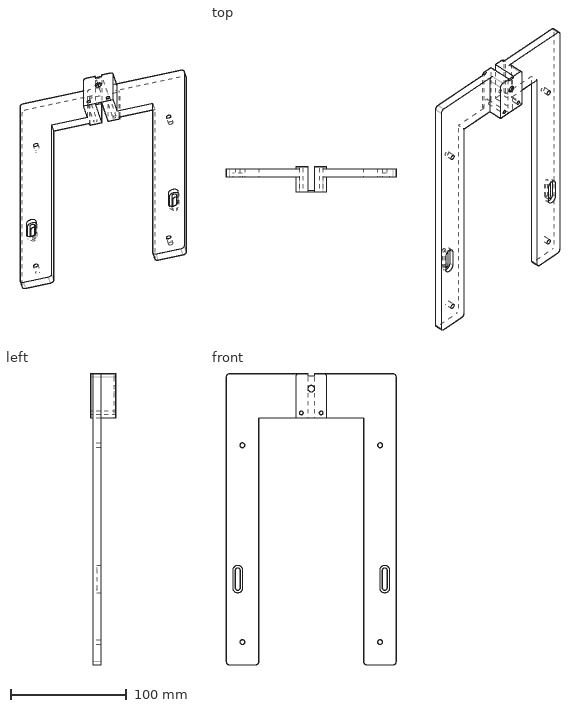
import cadquery as cq

frame_width = 147.0
frame_height = 252.0
plate_thickness = 7.0
leg_width = 28.2
crossbar_height = 38.5
corner_radius = 3.0
crossbar_bottom = frame_height - crossbar_height

block_width = 26.7
block_depth = 22.0
block_back_step = 2.0
block_corner_radius = 3.0
plate_back = block_depth - block_back_step
plate_front = plate_back - plate_thickness

channel_width = 5.5
web_thickness = 1.5
web_drop = 2.0

block_hole_diameter = 5.5
block_hole_drop = 13.0
pin_hole_diameter = 3.0
pin_hole_spacing = 17.1
pin_hole_drop = 34.0
leg_hole_diameter = 4.0
leg_hole_spacing = 119.0
leg_hole_heights = (20.0, 190.0)

slot_spacing = 127.0
slot_height = 74.3
slot_width = 4.0
slot_length = 19.2
recess_width = 8.5
recess_length = 23.7
recess_depth = 3.5


def box(width, y_front, y_back, z_bottom, z_top):
    """Box centred on X = 0 between the given Y and Z limits."""
    return cq.Workplane("XY").box(
        width, y_back - y_front, z_top - z_bottom, centered=(True, False, False)
    ).translate((0, y_front, z_bottom))


def front_plane(y):
    """XZ sketch plane at the given Y; positive extrusions run toward -Y."""
    return cq.Workplane("XZ", origin=(0, y, 0))


def make_frame():
    crossbar = box(frame_width, plate_front, plate_back, crossbar_bottom, frame_height)
    frame = crossbar.edges("|Y and >Z").fillet(corner_radius)
    leg = box(leg_width, plate_front, plate_back, 0, crossbar_bottom)
    leg = leg.edges("|Y and <Z").fillet(corner_radius)
    leg_offset = (frame_width - leg_width) / 2
    for side in (-1, 1):
        frame = frame.union(leg.translate((side * leg_offset, 0, 0)))
    return frame.clean()


def make_block():
    block = box(block_width, 0, block_depth, crossbar_bottom, frame_height)
    return block.edges("|Y and >Z").fillet(block_corner_radius)


def make_channel():
    channel = box(channel_width, web_thickness, block_depth, crossbar_bottom, frame_height)
    web_notch = box(channel_width, 0, web_thickness, frame_height - web_drop, frame_height)
    return channel.union(web_notch)


def make_holes(diameter, centres):
    return front_plane(block_depth).pushPoints(centres).circle(diameter / 2).extrude(block_depth)


def make_slots():
    centres = [(side * slot_spacing / 2, slot_height) for side in (-1, 1)]
    through = (
        front_plane(plate_back)
        .pushPoints(centres)
        .slot2D(slot_length, slot_width, 90)
        .extrude(plate_thickness)
    )
    recess = (
        front_plane(plate_front + recess_depth)
        .pushPoints(centres)
        .slot2D(recess_length, recess_width, 90)
        .extrude(recess_depth)
    )
    return through.union(recess)


block_hole_centres = [(0, frame_height - block_hole_drop)]
pin_hole_centres = [(side * pin_hole_spacing / 2, frame_height - pin_hole_drop) for side in (-1, 1)]
leg_hole_centres = [(side * leg_hole_spacing / 2, z) for side in (-1, 1) for z in leg_hole_heights]

result = (
    make_frame()
    .union(make_block())
    .cut(make_channel())
    .cut(make_holes(block_hole_diameter, block_hole_centres))
    .cut(make_holes(pin_hole_diameter, pin_hole_centres))
    .cut(make_holes(leg_hole_diameter, leg_hole_centres))
    .cut(make_slots())
)